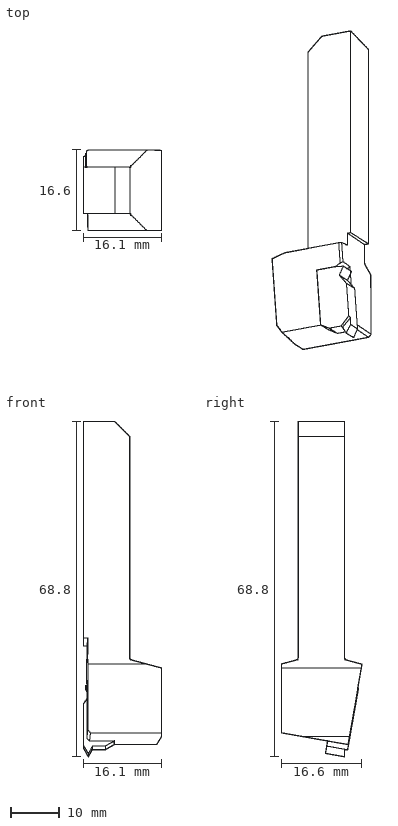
import cadquery as cq
import math

SHANK = 9.525
TOP_Z = 68.83
TOP_CHAMFER = 3.1

HEAD_RIGHT = 16.05
HEAD_DEPTH = 16.55
HEAD_BACK = 8.33
SHOULDER_Z = 20.0
SHOULDER_SLOPE = 15
SHOULDER_FILLET = 0.5
CORNER_TOP = 4.15
CORNER_ANGLE = 32

TILT = 10
RAKE_Y = SHANK / 2
BIG = 60

HEAD_BACK_P = 0.25
HEAD_BOTTOM_Q = 2.59
SEAT_TOP_Q = 22.4
SEAT_X = 0.6
SEAT_ANGLE = 1.2
BACK_BEVEL_X = 0.55
BACK_BEVEL_P = 0.3
BOTTOM_BEVEL_X = 0.55
BOTTOM_BEVEL_Q = 0.6

INSERT_FRONT_P = -4.0
INSERT_BACK_P = 0.4
INSERT_RIGHT = 6.35
TIP_X = 1.0
TIP_HALF_ANGLE = 30
FLAT_Q = 1.55
FLAT_END_X = 4.48
FLANK_ANGLE = 30
NOTCH_LOW_Q = 10.4
NOTCH_X = 1.45
NOTCH_Q = 12.4
TOOTH_X = 0.42
TOOTH_Q = 14.15
VALLEY_X = 2.25
INSERT_TOP_Q = 14.4
POCKET_MOUTH_Q = 15.28

RAKE_TOP_Z = 3.3


def tilted(shape):
    """Move a shape from the tilted XPQ frame to its place in XYZ."""
    return shape.rotate((0, 0, 0), (1, 0, 0), -TILT).translate((0, RAKE_Y, 0))


def block(x, y, z):
    """Box given by its ranges along the three axes."""
    size = (x[1] - x[0], y[1] - y[0], z[1] - z[0])
    return cq.Workplane("XY").box(*size, centered=False).translate((x[0], y[0], z[0]))


def slab(points, front, back):
    """Extrude an outline in the XZ plane from front to back along Y."""
    return cq.Workplane("XZ", origin=(0, back, 0)).polyline(points).close().extrude(back - front)


flank_rise = (INSERT_RIGHT - FLAT_END_X) * math.tan(math.radians(FLANK_ANGLE))
flank_points = [(FLAT_END_X, FLAT_Q), (INSERT_RIGHT, FLAT_Q + flank_rise)]
inner_points = flank_points + [(INSERT_RIGHT, INSERT_TOP_Q), (VALLEY_X, INSERT_TOP_Q)]


def make_shank():
    bar = block((0, SHANK), (-SHANK / 2, SHANK / 2), (SHOULDER_Z, TOP_Z))
    return bar.edges(">X and >Z").chamfer(TOP_CHAMFER)


def make_head():
    """Block under a roof that falls away from the shank on the front, back and right."""
    reach = HEAD_RIGHT
    drop = reach * math.tan(math.radians(SHOULDER_SLOPE))
    roof = (
        cq.Workplane("XY", origin=(SHANK / 2, 0, SHOULDER_Z))
        .rect(SHANK, SHANK)
        .workplane(offset=-drop)
        .rect(SHANK + 2 * reach, SHANK + 2 * reach)
        .loft(ruled=True)
    )
    base = SHOULDER_Z - drop
    roof = roof.union(block((-reach, SHANK + reach), (-BIG, BIG), (0, base)))
    return roof.intersect(block((0, HEAD_RIGHT), (HEAD_BACK - HEAD_DEPTH, HEAD_BACK), (0, SHOULDER_Z)))


def fillet_shoulder(body):
    margin = 0.1
    near = (margin, -SHANK / 2 - margin, SHOULDER_Z - margin)
    far = (SHANK + margin, SHANK / 2 + margin, SHOULDER_Z + margin)
    return body.edges(cq.selectors.BoxSelector(near, far)).fillet(SHOULDER_FILLET)


def seated(shape):
    """Place a shape whose X = 0 plane is the left face and whose Y = 0 plane meets the head back."""
    return tilted(shape.rotate((0, 0, 0), (0, 0, 1), SEAT_ANGLE).translate((SEAT_X, HEAD_BACK_P, 0)))


def left_face_relief():
    """Everything left of the seat face, below the step on the shank."""
    return seated(block((-BIG, 0), (-BIG, BIG), (-BIG, SEAT_TOP_Q)))


def back_bevel():
    """Narrow bevel between the left face and the back face of the head."""
    outline = [(0, -BACK_BEVEL_P), (BACK_BEVEL_X, 0), (0, 0)]
    return seated(cq.Workplane("XY").polyline(outline).close().extrude(SEAT_TOP_Q))


def back_relief():
    return tilted(block((-BIG, BIG), (HEAD_BACK_P, BIG), (-BIG, SEAT_TOP_Q)))


def bottom_relief():
    """Tilted bottom face."""
    return tilted(block((-BIG, BIG), (-BIG, BIG), (-BIG, HEAD_BOTTOM_Q)))


def bottom_bevel():
    """Bevel between the left face and the bottom face."""
    corner_q = HEAD_BOTTOM_Q + BOTTOM_BEVEL_Q
    outline = [(0, corner_q), (BOTTOM_BEVEL_X, HEAD_BOTTOM_Q), (0, HEAD_BOTTOM_Q)]
    return seated(slab(outline, -BIG, BIG))


def corner_bevel():
    """Bevel on the lower right corner, cutting deeper towards the low back end of the bottom face."""
    width = CORNER_TOP * math.tan(math.radians(CORNER_ANGLE))
    return slab([(HEAD_RIGHT, CORNER_TOP), (HEAD_RIGHT - width, 0), (HEAD_RIGHT, 0)], -BIG, BIG)


def pocket():
    outline = inner_points + [(SEAT_X, POCKET_MOUTH_Q), (-BIG, POCKET_MOUTH_Q), (-BIG, FLAT_Q)]
    return tilted(slab(outline, INSERT_FRONT_P, BIG))


def make_insert():
    """V-tipped insert with a notched back, and a rake face ground behind the tip."""
    tip_half_width = FLAT_Q * math.tan(math.radians(TIP_HALF_ANGLE))
    tip_side_q = TIP_X / math.tan(math.radians(TIP_HALF_ANGLE))
    outline = [(0, tip_side_q), (TIP_X, 0), (TIP_X + tip_half_width, FLAT_Q)]
    outline += inner_points
    outline += [(TOOTH_X, TOOTH_Q), (NOTCH_X, NOTCH_Q), (0, NOTCH_LOW_Q)]
    body = tilted(slab(outline, INSERT_FRONT_P, INSERT_BACK_P))
    rake_cut = slab([(0, RAKE_TOP_Z), (2 * RAKE_TOP_Z, -RAKE_TOP_Z), (0, -RAKE_TOP_Z)], RAKE_Y, BIG)
    return body.cut(rake_cut)


holder = fillet_shoulder(make_shank().union(make_head()))
head_cuts = [left_face_relief, back_relief, bottom_relief, back_bevel, bottom_bevel, corner_bevel, pocket]
for make_cutter in head_cuts:
    holder = holder.cut(make_cutter())

insert = make_insert()
result = cq.Compound.makeCompound([holder.val(), insert.val()])